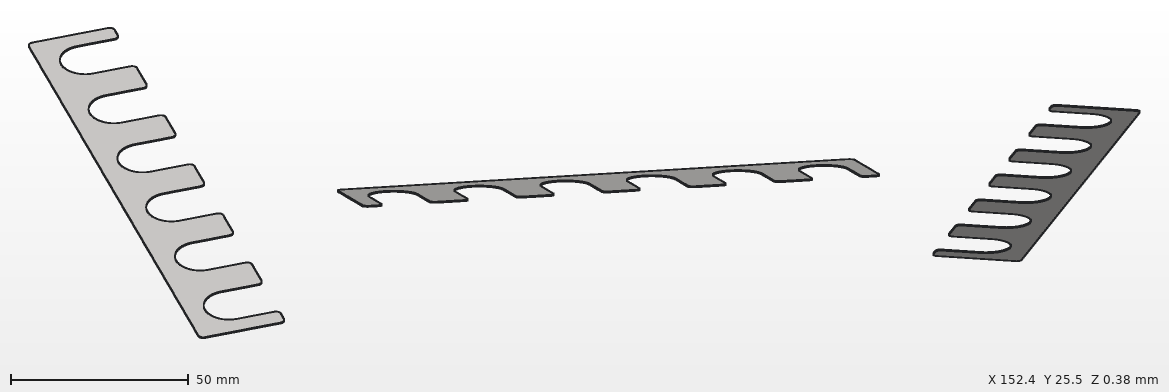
import cadquery as cq

length = 152.4
depth = 25.5
thickness = 0.38
slot_count = 6
slot_width = 14.2
slot_floor = 5.8
corner_radius = 1.5

pitch = length / slot_count
slot_radius = slot_width / 2
slot_arc_y = slot_floor + slot_radius


def slot_cutter(center_x):
    """U-shaped slot, round at the bottom and open through the +Y edge."""
    return (
        cq.Workplane("XY")
        .moveTo(center_x - slot_radius, depth)
        .lineTo(center_x - slot_radius, slot_arc_y)
        .threePointArc((center_x, slot_floor), (center_x + slot_radius, slot_arc_y))
        .lineTo(center_x + slot_radius, depth)
        .close()
        .extrude(thickness)
    )


comb = cq.Workplane("XY").box(length, depth, thickness, centered=False)
for index in range(slot_count):
    comb = comb.cut(slot_cutter((index + 0.5) * pitch))

tip_edges = comb.faces(">Y").edges("|Z")
spine_edges = comb.faces("<Y").edges("|Z")
result = comb.newObject(tip_edges.vals() + spine_edges.vals()).fillet(corner_radius)